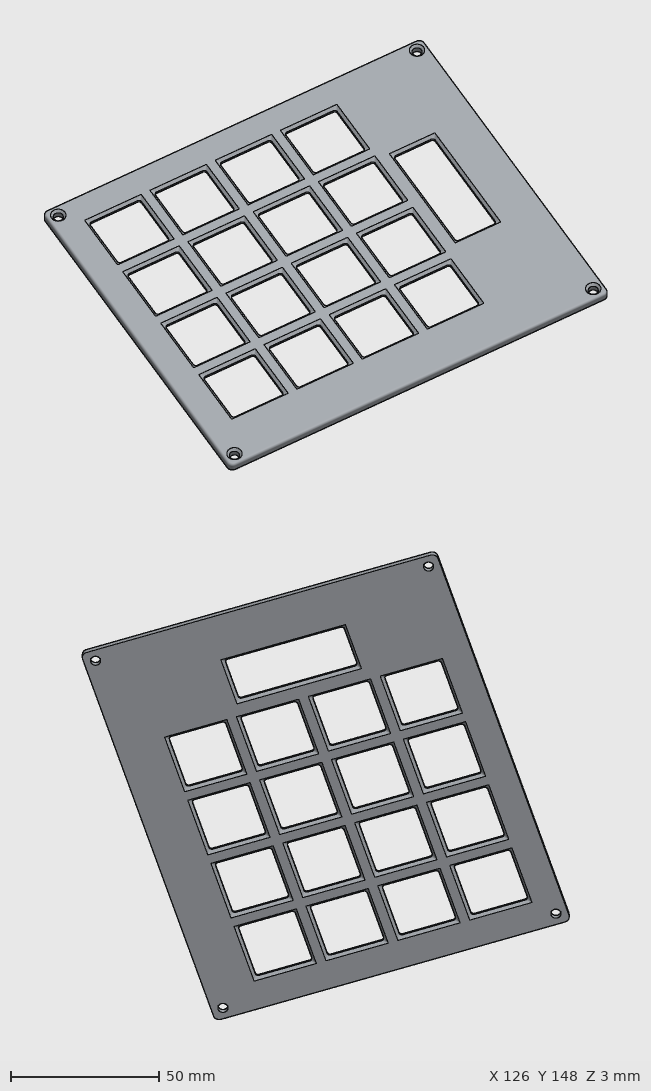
import cadquery as cq

width = 126.0
length = 148.0
thickness = 3.0
corner_radius = 2.0
rim_radius = 1.0

key_size = 20.0
key_pitch = 25.5
key_count = 4
grid_x = -3.4
grid_y = -14.2

display_width = 42.0
display_height = 15.7
display_y = 48.5

flare = 1.0
throat_radius = 1.0
mouth_radius = 0.1

hole_diameter = 3.4
head_diameter = 5.2
head_angle = 90
hole_inset = 4.0


def make_plate():
    """Plate with rounded corners and a rounded upper rim."""
    blank = cq.Workplane("XY").box(width, length, thickness, centered=(True, True, False))
    return blank.edges("|Z").fillet(corner_radius).faces(">Z").edges().fillet(rim_radius)


def rounded_rectangle(size_x, size_y, radius, z):
    outline = cq.Sketch().rect(size_x, size_y).vertices().fillet(radius)
    return outline.moved(cq.Location(cq.Vector(0, 0, z)))


def make_window(size_x, size_y):
    """Window cutter: rounded corners at the throat become nearly sharp at the mouths."""
    mouth_x = size_x + 2 * flare
    mouth_y = size_y + 2 * flare

    bottom_mouth = rounded_rectangle(mouth_x, mouth_y, mouth_radius, 0)
    lower_throat = rounded_rectangle(size_x, size_y, throat_radius, flare)
    upper_throat = rounded_rectangle(size_x, size_y, throat_radius, thickness - flare)
    top_mouth = rounded_rectangle(mouth_x, mouth_y, mouth_radius, thickness)

    lower_flare = cq.Workplane("XY").placeSketch(bottom_mouth, lower_throat).loft(ruled=True)
    wall = cq.Workplane("XY").placeSketch(lower_throat).extrude(thickness - 2 * flare)
    upper_flare = cq.Workplane("XY").placeSketch(upper_throat, top_mouth).loft(ruled=True)
    return lower_flare.union(wall).union(upper_flare)


def cut_display_window(plate):
    return plate.cut(make_window(display_width, display_height).translate((grid_x, display_y, 0)))


def cut_key_windows(plate):
    key_window = make_window(key_size, key_size)
    first_offset = -(key_count - 1) / 2 * key_pitch
    for column in range(key_count):
        for row in range(key_count):
            x = grid_x + first_offset + column * key_pitch
            y = grid_y + first_offset + row * key_pitch
            plate = plate.cut(key_window.translate((x, y, 0)))
    return plate


def cut_screw_holes(plate):
    top_face = plate.faces(">Z").workplane(origin=(0, 0, thickness))
    hole_centres = top_face.rect(
        width - 2 * hole_inset, length - 2 * hole_inset, forConstruction=True
    ).vertices()
    return hole_centres.cskHole(hole_diameter, head_diameter, head_angle)


result = make_plate()
result = cut_display_window(result)
result = cut_key_windows(result)
result = cut_screw_holes(result)